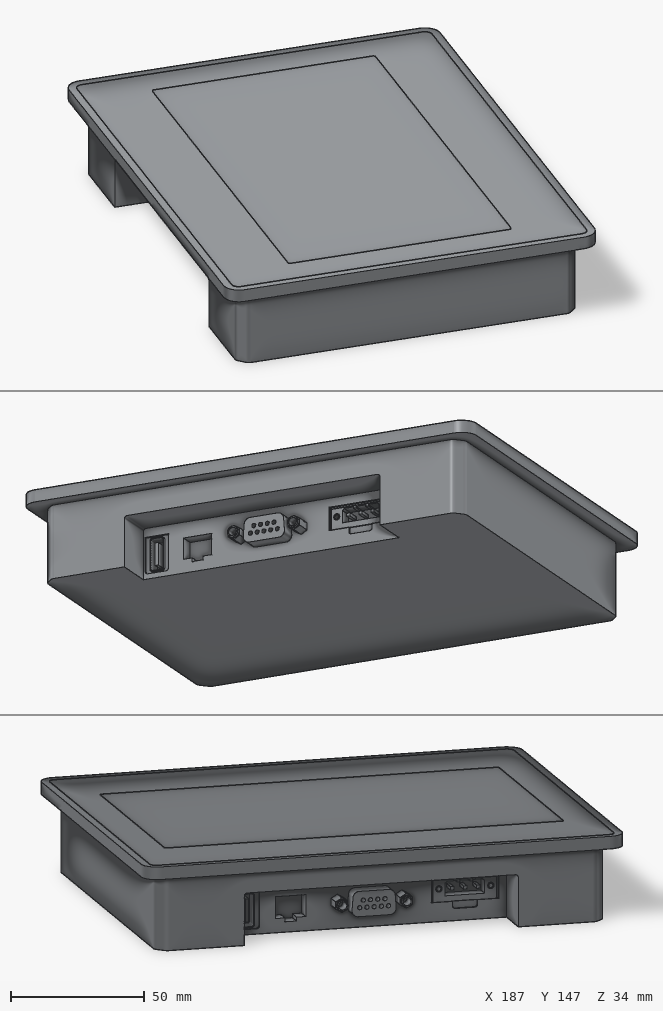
import cadquery as cq
import math

PLATE_LENGTH = 187.0
PLATE_WIDTH = 147.0
TOTAL_HEIGHT = 34.0
PLATE_THICKNESS = 4.9
PLATE_CORNER_RADIUS = 6.2

PLATE_OVERHANG = 6.2
HOUSING_HEIGHT = TOTAL_HEIGHT - PLATE_THICKNESS
HOUSING_LENGTH = PLATE_LENGTH - 2 * PLATE_OVERHANG
HOUSING_WIDTH = PLATE_WIDTH - 2 * PLATE_OVERHANG
HOUSING_CORNER_CHAMFER = 3.7
HOUSING_CORNER_BLEND = 2.8

PANEL_MARGIN = 3.2
PANEL_CORNER_RADIUS = 2.8
DISPLAY_LENGTH = 155.2
DISPLAY_WIDTH = 88.5
DISPLAY_CORNER_RADIUS = 1.0
FACE_STEP = 0.2

BAY_LENGTH = 106.5
BAY_HEIGHT = 20.2
BAY_DEPTH = 16.0
BAY_CORNER_RADIUS = 1.3

BAY_WALL_Y = -HOUSING_WIDTH / 2 + BAY_DEPTH

USB_X = -47.7
USB_Z = 9.4
USB_OPENING_LENGTH = 9.7
USB_OPENING_HEIGHT = 14.5
USB_OPENING_RADIUS = 1.1
USB_SHELL_LENGTH = 5.8
USB_SHELL_HEIGHT = 13.3
USB_SHELL_RADIUS = 1.1
USB_SHELL_WALL = 0.4
USB_TONGUE_LENGTH = 1.3
USB_TONGUE_HEIGHT = 9.0
USB_OPENING_DEPTH = 1.0

NETWORK_X = -30.7
NETWORK_Z = 9.7
NETWORK_LENGTH = 11.8
NETWORK_HEIGHT = 8.5
NETWORK_LATCH_LENGTH = 4.5
NETWORK_LATCH_HEIGHT = 1.5

SERIAL_Z = 10.5
SERIAL_HEIGHT = 9.7
SERIAL_TOP_LENGTH = 16.0
SERIAL_BOTTOM_LENGTH = 17.5
SERIAL_CORNER_RADIUS = 2.5
SERIAL_PROTRUSION = 6.2
PIN_COUNT_TOP = 4
PIN_COUNT_BOTTOM = 5
PIN_PITCH = 2.8
PIN_HOLE_DIAMETER = 1.6
JACK_SCREW_X = 12.5
JACK_SCREW_FLATS = 4.9
JACK_SCREW_SIDES = 6
JACK_SCREW_HEX_LENGTH = SERIAL_PROTRUSION
JACK_SCREW_COLLAR_DIAMETER = 4.3
JACK_SCREW_COLLAR_LENGTH = 1.1
JACK_SCREW_HOLE_DIAMETER = 3.2

TERMINAL_X = 37.2
TERMINAL_LENGTH = 26.4
TERMINAL_HEIGHT = 9.2
TERMINAL_BOTTOM_Z = 7.5
TERMINAL_GAP = 0.7
TERMINAL_GAP_DEPTH = 1.0
TERMINAL_SETBACK = 0.4
SOCKET_LENGTH = 15.3
SOCKET_HEIGHT = 5.6
SOCKET_BOTTOM_Z = 9.7
SOCKET_CORNER_CHAMFER = 0.7
SOCKET_KEY_LENGTH = 1.1
SOCKET_KEY_HEIGHT = 0.5
TERMINAL_PITCH = 5.0
TERMINAL_PIN_SIZE = 1.3
TERMINAL_AXIS_Z = 12.5
TERMINAL_SCREW_X = 10.1
TERMINAL_SCREW_DIAMETER = 2.5
TERMINAL_SCREW_HOLE_DIAMETER = 1.6
TERMINAL_SCREW_STEP = 0.5
TAB_LENGTH = 9.7
TAB_HEIGHT = 2.8
TAB_CORNER_RADIUS = 1.1

SOCKET_DEPTH = 5.6


def wall_sketch(x, z, y=BAY_WALL_Y):
    """Workplane facing -Y at depth y, with its origin at (x, z)."""
    return cq.Workplane("XZ", origin=(x, y, z))


def wall_block(x, z, length, height, depth, y=BAY_WALL_Y):
    """Block centred on (x, z) that runs from depth y into the housing."""
    return wall_sketch(x, z, y).rect(length, height).extrude(-depth)


def wall_rod(x, z, diameter, depth, y=BAY_WALL_Y):
    """Round rod along Y that runs from depth y into the housing."""
    return wall_sketch(x, z, y).circle(diameter / 2).extrude(-depth)


def rounded_slab(length, width, thickness, corner_radius):
    """Slab with rounded corners that hangs down from the top face."""
    return (
        cq.Workplane("XY", origin=(0, 0, TOTAL_HEIGHT))
        .rect(length, width)
        .extrude(-thickness)
        .edges("|Z")
        .fillet(corner_radius)
    )


def make_housing():
    """Box whose corners are chamfered and then blended into the sides."""
    return (
        cq.Workplane("XY")
        .rect(HOUSING_LENGTH, HOUSING_WIDTH)
        .extrude(HOUSING_HEIGHT)
        .edges("|Z")
        .chamfer(HOUSING_CORNER_CHAMFER)
        .edges("|Z")
        .fillet(HOUSING_CORNER_BLEND)
    )


def make_plate():
    """Front plate with a stepped recess for the panel and the display."""
    plate = rounded_slab(PLATE_LENGTH, PLATE_WIDTH, PLATE_THICKNESS, PLATE_CORNER_RADIUS)
    panel_length = PLATE_LENGTH - 2 * PANEL_MARGIN
    panel_width = PLATE_WIDTH - 2 * PANEL_MARGIN
    panel = rounded_slab(panel_length, panel_width, FACE_STEP, PANEL_CORNER_RADIUS)
    display = rounded_slab(DISPLAY_LENGTH, DISPLAY_WIDTH, 2 * FACE_STEP, DISPLAY_CORNER_RADIUS)
    return plate.cut(panel).cut(display)


def cut_bay(body):
    """Open the bay from the front of the housing, with both upper corners rounded."""
    bay = (
        wall_sketch(0, BAY_HEIGHT / 2)
        .rect(BAY_LENGTH, BAY_HEIGHT)
        .extrude(BAY_DEPTH)
        .edges("|Y and >Z")
        .fillet(BAY_CORNER_RADIUS)
    )
    return body.cut(bay)


def add_usb_port(body):
    """Sunk opening around a thin shell that holds a tongue."""
    opening = wall_block(USB_X, USB_Z, USB_OPENING_LENGTH, USB_OPENING_HEIGHT, USB_OPENING_DEPTH)
    opening = opening.edges("|Y and <Z").fillet(USB_OPENING_RADIUS)
    shell = wall_block(USB_X, USB_Z, USB_SHELL_LENGTH, USB_SHELL_HEIGHT, USB_OPENING_DEPTH)
    shell = shell.edges("|Y").fillet(USB_SHELL_RADIUS)
    cavity = wall_block(
        USB_X,
        USB_Z,
        USB_SHELL_LENGTH - 2 * USB_SHELL_WALL,
        USB_SHELL_HEIGHT - 2 * USB_SHELL_WALL,
        SOCKET_DEPTH,
    )
    cavity = cavity.edges("|Y").fillet(USB_SHELL_RADIUS - USB_SHELL_WALL)
    tongue = wall_block(USB_X, USB_Z, USB_TONGUE_LENGTH, USB_TONGUE_HEIGHT, SOCKET_DEPTH)
    return body.cut(opening).union(shell).cut(cavity).union(tongue)


def cut_network_port(body):
    """Socket with a latch notch below it."""
    socket = wall_block(NETWORK_X, NETWORK_Z, NETWORK_LENGTH, NETWORK_HEIGHT, SOCKET_DEPTH)
    latch_z = NETWORK_Z - (NETWORK_HEIGHT + NETWORK_LATCH_HEIGHT) / 2
    latch = wall_block(NETWORK_X, latch_z, NETWORK_LATCH_LENGTH, NETWORK_LATCH_HEIGHT, SOCKET_DEPTH)
    return body.cut(socket).cut(latch)


def add_serial_connector(body):
    """Protruding tapered shell with two rows of contact holes."""
    half_height = SERIAL_HEIGHT / 2
    shell = (
        wall_sketch(0, SERIAL_Z)
        .polyline([
            (-SERIAL_BOTTOM_LENGTH / 2, -half_height),
            (SERIAL_BOTTOM_LENGTH / 2, -half_height),
            (SERIAL_TOP_LENGTH / 2, half_height),
            (-SERIAL_TOP_LENGTH / 2, half_height),
        ])
        .close()
        .extrude(SERIAL_PROTRUSION)
        .edges("|Y")
        .fillet(SERIAL_CORNER_RADIUS)
    )
    body = body.union(shell)

    front_y = BAY_WALL_Y - SERIAL_PROTRUSION
    for pin_count, side in ((PIN_COUNT_TOP, 1), (PIN_COUNT_BOTTOM, -1)):
        row_z = SERIAL_Z + side * PIN_PITCH / 2
        for index in range(pin_count):
            pin_x = (index - (pin_count - 1) / 2) * PIN_PITCH
            body = body.cut(wall_rod(pin_x, row_z, PIN_HOLE_DIAMETER, SOCKET_DEPTH, front_y))
    return body


def add_jack_screws(body):
    """Hexagonal posts with a corner pointing up, each ending in a drilled round collar."""
    half_side_angle = 180 / JACK_SCREW_SIDES
    across_corners = JACK_SCREW_FLATS / math.cos(math.pi / JACK_SCREW_SIDES)
    front_y = BAY_WALL_Y - JACK_SCREW_HEX_LENGTH - JACK_SCREW_COLLAR_LENGTH
    for screw_x in (-JACK_SCREW_X, JACK_SCREW_X):
        screw = (
            wall_sketch(screw_x, SERIAL_Z)
            .transformed(rotate=(0, 0, half_side_angle))
            .polygon(JACK_SCREW_SIDES, across_corners)
            .extrude(JACK_SCREW_HEX_LENGTH)
        )
        collar = wall_rod(screw_x, SERIAL_Z, JACK_SCREW_COLLAR_DIAMETER, JACK_SCREW_COLLAR_LENGTH, front_y)
        hole = wall_rod(screw_x, SERIAL_Z, JACK_SCREW_HOLE_DIAMETER, SOCKET_DEPTH, front_y)
        body = body.union(screw).union(collar).cut(hole)
    return body


def cut_terminal_outline(body):
    """Set the terminal block in a gap along its sides and top, with a sunk tab below it."""
    outline_z = TERMINAL_BOTTOM_Z + TERMINAL_HEIGHT / 2
    outline = wall_block(TERMINAL_X, outline_z, TERMINAL_LENGTH, TERMINAL_HEIGHT, TERMINAL_GAP_DEPTH)
    block = wall_block(
        TERMINAL_X,
        outline_z - TERMINAL_GAP / 2,
        TERMINAL_LENGTH - 2 * TERMINAL_GAP,
        TERMINAL_HEIGHT - TERMINAL_GAP,
        TERMINAL_GAP_DEPTH,
        BAY_WALL_Y + TERMINAL_SETBACK,
    )
    tab_z = TERMINAL_BOTTOM_Z - TAB_HEIGHT / 2
    tab = wall_block(TERMINAL_X, tab_z, TAB_LENGTH, TAB_HEIGHT, TERMINAL_GAP_DEPTH)
    tab = tab.edges("|Y and <Z").fillet(TAB_CORNER_RADIUS)
    return body.cut(outline).union(block).cut(tab)


def add_terminal_socket(body):
    """Socket with two keys along its top and three square pins."""
    socket_top_z = SOCKET_BOTTOM_Z + SOCKET_HEIGHT
    socket_z = SOCKET_BOTTOM_Z + SOCKET_HEIGHT / 2
    socket = wall_block(TERMINAL_X, socket_z, SOCKET_LENGTH, SOCKET_HEIGHT, SOCKET_DEPTH)
    socket = socket.edges("|Y and >Z").chamfer(SOCKET_CORNER_CHAMFER)
    for side in (-1, 1):
        key_x = TERMINAL_X + side * TERMINAL_PITCH / 2
        key_z = socket_top_z - SOCKET_KEY_HEIGHT / 2
        socket = socket.cut(wall_block(key_x, key_z, SOCKET_KEY_LENGTH, SOCKET_KEY_HEIGHT, SOCKET_DEPTH))
    body = body.cut(socket)

    for position in (-1, 0, 1):
        pin_x = TERMINAL_X + position * TERMINAL_PITCH
        pin = wall_block(pin_x, TERMINAL_AXIS_Z, TERMINAL_PIN_SIZE, TERMINAL_PIN_SIZE, SOCKET_DEPTH)
        body = body.union(pin)
    return body


def cut_terminal_screws(body):
    """Stepped screw hole on each side of the socket."""
    for side in (-1, 1):
        screw_x = TERMINAL_X + side * TERMINAL_SCREW_X
        recess = wall_rod(screw_x, TERMINAL_AXIS_Z, TERMINAL_SCREW_DIAMETER, TERMINAL_SCREW_STEP)
        hole = wall_rod(screw_x, TERMINAL_AXIS_Z, TERMINAL_SCREW_HOLE_DIAMETER, SOCKET_DEPTH)
        body = body.cut(recess).cut(hole)
    return body


result = make_housing().union(make_plate())
result = cut_bay(result)
result = add_usb_port(result)
result = cut_network_port(result)
result = add_serial_connector(result)
result = add_jack_screws(result)
result = cut_terminal_outline(result)
result = add_terminal_socket(result)
result = cut_terminal_screws(result)